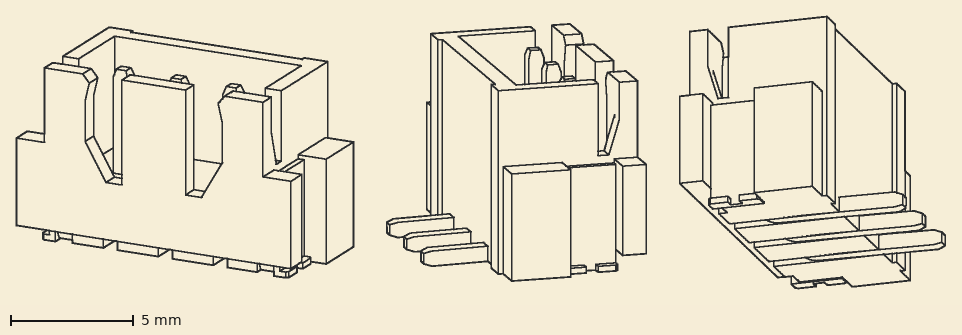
import cadquery as cq
import math


height = 7.75
standoff = 0.05
box_width = 9.95
back_y = 5.9
back_recess = 0.18
corner_pad_width = 1.08
cavity_width = 8.5
cavity_back_y = 4.94
floor_z = 3.0

wall_thickness = 0.77
wall_base_thickness = 1.0
wall_bottom_z = 0.8

overall_width = 12.5
shoulder_z = 4.55
wing_front_y = 3.2
wing_back_y = 5.7

gap_bottom_z = 4.73
gap_knee_z = 6.2
gap_bottom_front_y = 1.22
gap_back_y = 1.67

window_inner_x = 1.45
window_foot_x = 2.17
window_outer_x = 3.12
window_throat_x = 2.93
window_mouth_x = 3.23
window_bottom_z = 3.25
window_side_z = 4.87
window_neck_z = 6.6
window_throat_z = 7.4

relief_width = 0.77
relief_depth = 0.35

pin_count = 3
pin_pitch = 2.5
pin_row_offset = 0.03
pin_size = 0.64
pin_y = 2.21
pin_top_z = 7.44
pin_end_y = 8.4
tip_length = 0.31
tip_inset = 0.1
bend_outer_radius = 1.06
tail_droop = 1.0

clip_thickness = 0.27
clip_top_z = 4.38
foot_reach = 0.36
foot_thickness = 0.25
foot_corner = 0.1
foot_notch_front_y = 1.86
foot_notch_back_y = 2.35

bend_radius = bend_outer_radius - pin_size / 2
droop = math.radians(tail_droop)
bend_y = pin_y + bend_radius
tail_drop = (pin_end_y - bend_y) * math.tan(droop)
bend_z = bend_outer_radius / math.cos(droop) + tail_drop


def block(x0, x1, y0, y1, z0, z1):
    """Axis-aligned box between two corners."""
    return cq.Workplane("XY").box(x1 - x0, y1 - y0, z1 - z0, centered=False).translate((x0, y0, z0))


def centred_block(width, y0, y1, z0, z1):
    """Axis-aligned box centred on X = 0."""
    return block(-width / 2, width / 2, y0, y1, z0, z1)


def mirrored_pair(shape):
    """A shape on the +X side together with its mirror image."""
    return [shape, shape.mirror("YZ")]


def side_gap():
    """Gap across both side walls, flared towards the front wall at the top."""
    return (
        cq.Workplane("YZ")
        .moveTo(gap_back_y, height)
        .lineTo(gap_back_y, gap_bottom_z)
        .lineTo(gap_bottom_front_y, gap_bottom_z)
        .lineTo(wall_thickness, gap_knee_z)
        .lineTo(wall_thickness, height)
        .close()
        .extrude(box_width / 2, both=True)
    )


def latch_window():
    """Hook-shaped opening through the front wall on the +X side."""
    return (
        cq.Workplane("XZ")
        .moveTo(window_inner_x, height)
        .lineTo(window_inner_x, window_bottom_z)
        .lineTo(window_foot_x, window_bottom_z)
        .lineTo(window_outer_x, window_side_z)
        .lineTo(window_outer_x, window_neck_z)
        .lineTo(window_throat_x, window_throat_z)
        .lineTo(window_mouth_x, height)
        .close()
        .extrude(-wall_base_thickness)
    )


def underside_relief():
    """Sloped relief below the front wall at the +X corner of the box."""
    return (
        cq.Workplane("YZ", origin=(box_width / 2 - relief_width, 0, 0))
        .moveTo(wall_base_thickness, standoff)
        .lineTo(wall_base_thickness, wall_bottom_z)
        .lineTo(wall_base_thickness + relief_depth, standoff)
        .close()
        .extrude(relief_width)
    )


def bend_clearance():
    """Pocket in front of a pin's bend and below its tail, as wide as the pin."""
    front = centred_block(pin_size, wall_base_thickness, bend_y, 0, wall_bottom_z)
    bend_core = (
        cq.Workplane("YZ", origin=(0, bend_y, bend_z))
        .circle(bend_radius)
        .extrude(pin_size, both=True)
    )
    below_tail = centred_block(pin_size, bend_y, back_y, 0, pin_size / 2)
    return front.cut(bend_core).union(below_tail)


def make_pin():
    """Square pin standing in the cavity, bent to a drooping tail, with both ends tapered."""
    tail_direction = (math.cos(droop), -math.sin(droop))
    half_turn = (math.pi / 2 - droop) / 2
    bend_middle = (bend_y - bend_radius * math.cos(half_turn), bend_z - bend_radius * math.sin(half_turn))
    bend_end = (bend_y - bend_radius * math.sin(droop), bend_z - bend_radius * math.cos(droop))
    tail_length = (pin_end_y - bend_end[0]) / math.cos(droop) - tip_length
    tail_end = tuple(start + tail_length * step for start, step in zip(bend_end, tail_direction))
    shank_top_z = pin_top_z - tip_length
    path = (
        cq.Workplane("YZ")
        .moveTo(pin_y, shank_top_z)
        .lineTo(pin_y, bend_z)
        .threePointArc(bend_middle, bend_end)
        .lineTo(*tail_end)
    )
    shank = (
        cq.Workplane("XY", origin=(0, pin_y, shank_top_z))
        .rect(pin_size, pin_size)
        .sweep(path)
    )
    taper = math.degrees(math.atan2(tip_inset, tip_length))
    top_plane = cq.Plane(origin=(0, pin_y, shank_top_z), xDir=(1, 0, 0), normal=(0, 0, 1))
    tail_plane = cq.Plane(origin=(0, *tail_end), xDir=(1, 0, 0), normal=(0, *tail_direction))
    for plane in (top_plane, tail_plane):
        shank = shank.union(cq.Workplane(plane).rect(pin_size, pin_size).extrude(tip_length, taper=taper))
    return shank


def make_clip():
    """Solder clip on the +X side: an upright plate with two feet turned outwards."""
    inner_x = box_width / 2
    outer_x = inner_x + clip_thickness
    foot_x = outer_x + foot_reach
    plate = block(inner_x, outer_x, wall_base_thickness, wing_front_y, 0, clip_top_z)
    feet = block(inner_x, foot_x, wall_base_thickness, wing_front_y, 0, foot_thickness)
    feet = feet.edges("|Z and >X").chamfer(foot_corner)
    notch = block(outer_x, foot_x, foot_notch_front_y, foot_notch_back_y, 0, foot_thickness)
    return plate.union(feet.cut(notch))


def make_housing(pins):
    """Open-topped connector housing with holes that fit the pins."""
    body = centred_block(box_width, wall_base_thickness, back_y, standoff, height)
    body = body.union(centred_block(box_width, 0, wall_base_thickness, wall_bottom_z, height))
    body = body.union(centred_block(overall_width, 0, wall_base_thickness, wall_bottom_z, shoulder_z))
    body = body.union(centred_block(overall_width, wing_front_y, wing_back_y, standoff, shoulder_z))

    recess_width = box_width - 2 * corner_pad_width
    body = body.cut(centred_block(recess_width, back_y - back_recess, back_y, standoff, height))
    body = body.cut(centred_block(cavity_width, wall_thickness, cavity_back_y, floor_z, height))
    body = body.cut(side_gap())
    for cutter in mirrored_pair(latch_window()) + mirrored_pair(underside_relief()):
        body = body.cut(cutter)
    for x in pin_positions:
        body = body.cut(bend_clearance().translate((x, 0, 0)))
    for pin in pins:
        body = body.cut(pin)
    return body


pin_positions = [pin_row_offset + (index - (pin_count - 1) / 2) * pin_pitch for index in range(pin_count)]
pins = [make_pin().translate((x, 0, 0)) for x in pin_positions]
clips = mirrored_pair(make_clip())
housing = make_housing(pins)

result = cq.Compound.makeCompound([body.val() for body in [housing, *pins, *clips]])